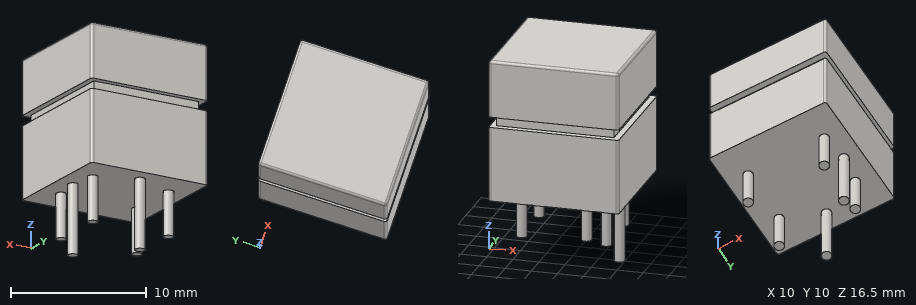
import cadquery as cq

total_height = 16.5
width = 10.0
neck_width = 9.0
edge_radius = 0.2

long_pin_length = 5.53
body_height = 5.78
neck_height = 0.8
body_top = long_pin_length + body_height
cap_bottom = body_top + neck_height
cap_height = total_height - cap_bottom

pin_diameter = 0.8
short_pin_length = 3.53
short_pin_spacing_x = 6.5
short_pin_spacing_y = 4.5
long_pin_offset = 3.6
long_pin_points = [(long_pin_offset, 0), (0, long_pin_offset)]


def square_block(side, bottom, height):
    """Square block centred on the Z axis."""
    return cq.Workplane("XY").workplane(offset=bottom).rect(side, side).extrude(height)


def pins(layout, length):
    """Round pins hanging from the underside of the body."""
    return layout.circle(pin_diameter / 2).extrude(-length)


body = square_block(width, long_pin_length, body_height).edges("|Z").fillet(edge_radius)

neck = square_block(neck_width, body_top, neck_height)

cap = square_block(width, cap_bottom, cap_height).edges("|Z or >Z").fillet(edge_radius)

underside = cq.Workplane("XY").workplane(offset=long_pin_length)
short_pins = pins(underside.rarray(short_pin_spacing_x, short_pin_spacing_y, 2, 2), short_pin_length)
long_pins = pins(underside.pushPoints(long_pin_points), long_pin_length)

result = body.union(neck).union(cap).union(short_pins).union(long_pins)